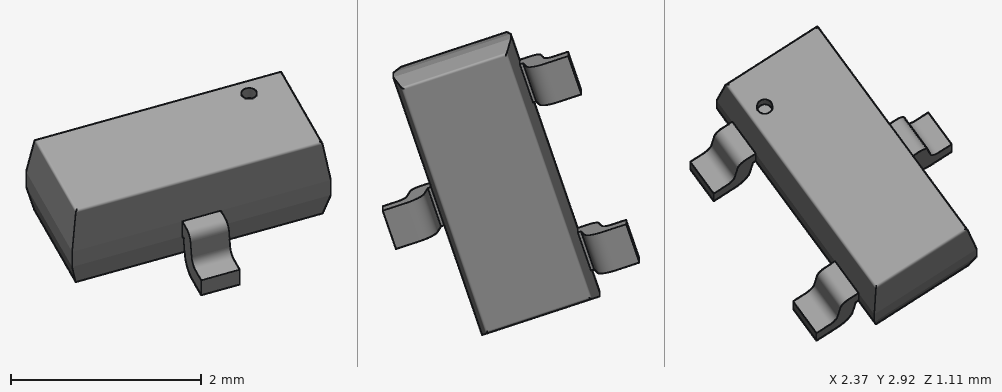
import cadquery as cq
import math

housing_width = 1.302
housing_length = 2.92
housing_bottom = 0.058
housing_top = 1.11
cap_inset = 0.07
edge_radius = 0.03

overall_width = 2.37
lead_thickness = 0.22
lead_width = 0.435
lead_offset_y = 0.952
lead_shoulder_bottom = 0.38
lead_shoulder_overhang = 0.035
lead_lean = 10.0
inner_bend_radius = 0.11
heel_radius = 0.201

mark_diameter = 0.164
mark_depth = 0.145
mark_x = -0.388

band_bottom = lead_shoulder_bottom
band_top = band_bottom + lead_thickness


def tapered_cap(start_z, end_z):
    """Cap that narrows by cap_inset on every side from start_z to end_z."""
    height = end_z - start_z
    taper = math.degrees(math.atan(cap_inset / abs(height)))
    return (
        cq.Workplane("XY", origin=(0, 0, start_z))
        .rect(housing_width, housing_length)
        .extrude(height, taper=taper)
    )


def make_housing():
    band = (
        cq.Workplane("XY", origin=(0, 0, band_bottom))
        .rect(housing_width, housing_length)
        .extrude(lead_thickness)
    )
    body = band.union(tapered_cap(band_top, housing_top))
    body = body.union(tapered_cap(band_bottom, housing_bottom))
    body = body.faces(">Z or <Z").edges().fillet(edge_radius)
    mark = (
        cq.Workplane("XY", origin=(mark_x, lead_offset_y, housing_top))
        .circle(mark_diameter / 2)
        .extrude(-mark_depth)
    )
    return body.cut(mark)


def make_lead(center_y):
    """Gull-wing lead on the -X side of the housing, centred at center_y."""
    slope = math.tan(math.radians(lead_lean))
    root_x = -housing_width / 2
    tip_x = -overall_width / 2
    leg_inner_x = root_x - lead_shoulder_overhang
    leg_outer_x = leg_inner_x - lead_thickness

    def lean_shift(z):
        return (z - lead_shoulder_bottom) * slope

    shoulder = (leg_outer_x + lean_shift(band_top), band_top)
    instep = (leg_outer_x + lean_shift(lead_thickness), lead_thickness)
    heel = (leg_inner_x + lean_shift(0), 0)
    outline = [
        (root_x, band_top),
        shoulder,
        instep,
        (tip_x, lead_thickness),
        (tip_x, 0),
        heel,
        (leg_inner_x, lead_shoulder_bottom),
        (root_x, lead_shoulder_bottom),
    ]
    lead = (
        cq.Workplane("XZ", origin=(0, center_y, 0))
        .polyline(outline)
        .close()
        .extrude(lead_width / 2, both=True)
    )
    bends = [
        (shoulder, inner_bend_radius),
        (instep, inner_bend_radius),
        (heel, heel_radius),
    ]
    for (x, z), radius in bends:
        lead = lead.edges(cq.NearestToPointSelector((x, center_y, z))).fillet(radius)
    return lead


housing = make_housing()

leads = [make_lead(y) for y in (-lead_offset_y, lead_offset_y)]
leads.append(make_lead(0).rotate((0, 0, 0), (0, 0, 1), 180))

result = cq.Compound.makeCompound([housing.val(), *[lead.val() for lead in leads]])